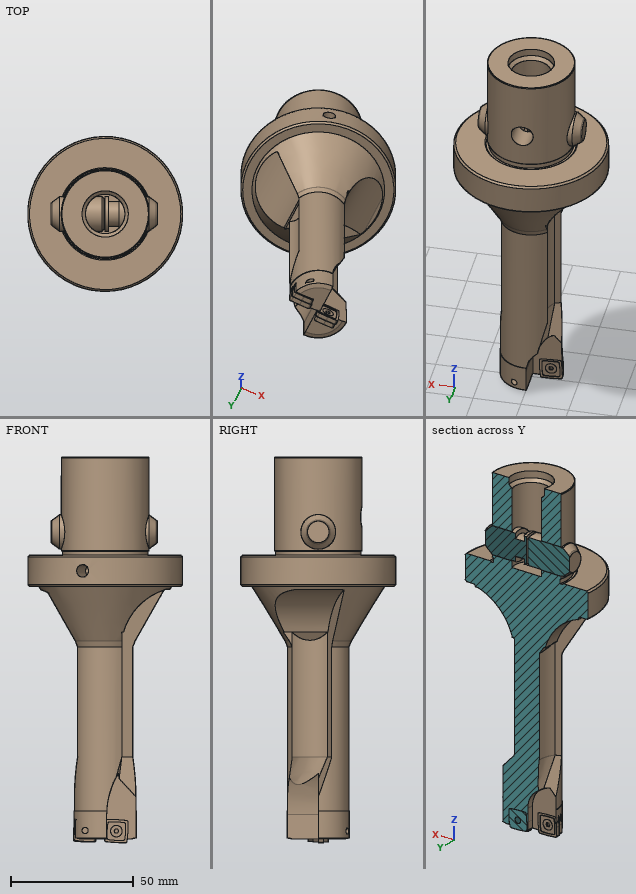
import cadquery as cq
import math


SHANK_RADIUS = 18.0
SHANK_TOP = 40.1
SHANK_CHAMFER = 0.3
UNDERCUT_RADIUS = 17.5
UNDERCUT_TOP = 1.9
UNDERCUT_OUTER_RADIUS = 19.0
UNDERCUT_DEPTH = 0.5
FLANGE_RADIUS = 31.8
FLANGE_THICKNESS = 13.0
FLANGE_CHAMFER = 0.8

CONE_TOP_RADIUS = 27.2
CONE_BOTTOM = -35.2
STEM_RADIUS = 12.6
STEM_BLEND = 2.4
BLEND_RADIUS = 13.6
TIP_RADIUS = 12.8
TIP_TOP = -104.7
TIP_BOTTOM = -116.3
TIP_BEVEL_HEIGHT = 0.5
TIP_BEVEL_WIDTH = 1.9

BORE_RADIUS = 8.0
BORE_FLOOR = 0.0
COUNTERBORE_RADIUS = 9.5
COUNTERBORE_DEPTH = 3.2

REAR_HOLE_RADIUS = 4.6
REAR_HOLE_Z = 15.6
FLANGE_HOLE_RADIUS = 2.5
FLANGE_HOLE_DEPTH = 12.6
FLANGE_HOLE_ANGLE = 17.0
FLANGE_HOLE_Z = -6.5

BOLT_Z = 9.5
BOLT_RADIUS = 7.1
BOLT_NOSE_RADIUS = 4.9
BOLT_NOSE_LENGTH = 3.5
BOLT_NOSE_CHAMFER = 0.5
LEFT_BOLT_TIP = -22.1
LEFT_BOLT_END = -0.5
LEFT_BOLT_CHAMFER = 0.8
RIGHT_BOLT_TIP = 21.3
COLLAR_START = 0.0
COLLAR_END = 1.5
NECK_RADIUS = 5.0
NECK_END = 5.7

LEFT_FLUTE_EDGE = 8.8
RIGHT_FLUTE_EDGE = 6.8
FLUTE_SAG = 2.4
FLUTE_LIP_X = -11.4
FLUTE_LIP_Y = -5.5
FLUTE_WALL_SLOPE = 0.4
FLUTE_TOP = -31.6
FLUTE_TOP_DROP = 3.3
FLUTE_KINK = -82.8
FLUTE_LEAN_X = 0.12
FLUTE_LEAN_Y = 0.42
FLUTE_LEAN_HEIGHT = 23.7
FLUTE_REACH = 31.6

RUNOUT_BOTTOM = -34.8
RUNOUT_MID_X = 7.7
RUNOUT_MID_Z = -20.0
RUNOUT_END_X = 18.2
RUNOUT_TOP = -14.0

TIP_WEB = 0.6
TIP_POCKET_TOP = -106.2
LEFT_TIP_CURVE = 10.6
RIGHT_TIP_CURVE = 31.6

INSERT_SIDE = 9.2
INSERT_BULGE = 0.2
INSERT_CORNER = 0.8
INSERT_TIER = 2.0
INSERT_INSET = 0.3
INSERT_RIM = 1.0
INSERT_HOLLOW = 0.3
INNER_INSERT_X = 4.6
INNER_INSERT_TILT = 3.0
OUTER_INSERT_X = 8.2
OUTER_INSERT_TILT = -3.0
OUTER_INSERT_Z = -112.8
DRILL_TIP = -117.9

SCREW_RADIUS = 1.3
SCREW_LENGTH = 7.9
SCREW_HEAD_RADIUS = 2.4
SCREW_HEAD_HEIGHT = 1.6
SOCKET_WIDTH = 1.9
SOCKET_DEPTH = 0.8


def half_turn(shape):
    """Turn a shape by half a turn about the drill axis."""
    return shape.rotate((0, 0, 0), (0, 0, 1), 180)



def body_blank():
    flange_bottom = -FLANGE_THICKNESS
    flange_inner = FLANGE_RADIUS - FLANGE_CHAMFER
    return (
        cq.Workplane("XZ")
        .moveTo(0, SHANK_TOP)
        .lineTo(SHANK_RADIUS - SHANK_CHAMFER, SHANK_TOP)
        .lineTo(SHANK_RADIUS, SHANK_TOP - SHANK_CHAMFER)
        .lineTo(SHANK_RADIUS, UNDERCUT_TOP)
        .lineTo(UNDERCUT_RADIUS, UNDERCUT_TOP - UNDERCUT_DEPTH)
        .lineTo(UNDERCUT_RADIUS, -UNDERCUT_DEPTH)
        .lineTo(UNDERCUT_OUTER_RADIUS - UNDERCUT_DEPTH, -UNDERCUT_DEPTH)
        .lineTo(UNDERCUT_OUTER_RADIUS, 0)
        .lineTo(flange_inner, 0)
        .lineTo(FLANGE_RADIUS, -FLANGE_CHAMFER)
        .lineTo(FLANGE_RADIUS, flange_bottom + FLANGE_CHAMFER)
        .lineTo(flange_inner, flange_bottom)
        .lineTo(CONE_TOP_RADIUS, flange_bottom)
        .lineTo(BLEND_RADIUS, CONE_BOTTOM)
        .lineTo(STEM_RADIUS, CONE_BOTTOM - STEM_BLEND)
        .lineTo(STEM_RADIUS, TIP_TOP)
        .lineTo(TIP_RADIUS, TIP_TOP)
        .lineTo(TIP_RADIUS, TIP_BOTTOM + TIP_BEVEL_HEIGHT)
        .lineTo(TIP_RADIUS - TIP_BEVEL_WIDTH, TIP_BOTTOM)
        .lineTo(0, TIP_BOTTOM)
        .close()
        .revolve(360, (0, 0, 0), (0, 1, 0))
    )


def shank_bore():
    ledge = SHANK_TOP - COUNTERBORE_DEPTH
    return (
        cq.Workplane("XZ")
        .moveTo(0, SHANK_TOP)
        .lineTo(COUNTERBORE_RADIUS, SHANK_TOP)
        .lineTo(COUNTERBORE_RADIUS, ledge)
        .lineTo(BORE_RADIUS, ledge - (COUNTERBORE_RADIUS - BORE_RADIUS))
        .lineTo(BORE_RADIUS, BORE_FLOOR)
        .lineTo(0, BORE_FLOOR)
        .close()
        .revolve(360, (0, 0, 0), (0, 1, 0))
    )


def rear_hole():
    """Hole from the rear of the shank into its bore."""
    return (
        cq.Workplane("XZ")
        .center(0, REAR_HOLE_Z)
        .circle(REAR_HOLE_RADIUS)
        .extrude(-SHANK_RADIUS)
    )


def flange_hole():
    """Blind radial hole in the rim of the flange."""
    return (
        cq.Workplane("XZ", origin=(0, FLANGE_HOLE_DEPTH - FLANGE_RADIUS, 0))
        .center(0, FLANGE_HOLE_Z)
        .circle(FLANGE_HOLE_RADIUS)
        .extrude(FLANGE_HOLE_DEPTH)
        .rotate((0, 0, 0), (0, 0, 1), -FLANGE_HOLE_ANGLE)
    )


def bolt_bore():
    return (
        cq.Workplane("YZ", origin=(-SHANK_RADIUS, 0, BOLT_Z))
        .circle(BOLT_RADIUS)
        .extrude(2 * SHANK_RADIUS)
    )


def flute_section(edge, level):
    """Cross-section of a flute: a straight wall and a hollow floor."""
    far_edge_y = math.sqrt(STEM_RADIUS**2 - edge**2)
    wall_inner_y = FLUTE_LIP_Y + FLUTE_WALL_SLOPE * (-edge - FLUTE_LIP_X)
    wall_outer_y = FLUTE_LIP_Y + FLUTE_WALL_SLOPE * (-FLUTE_REACH - FLUTE_LIP_X)
    return (
        cq.Workplane("XY", origin=(0, 0, level))
        .moveTo(-FLUTE_REACH, wall_outer_y)
        .lineTo(-edge, wall_inner_y)
        .threePointArc(
            (FLUTE_SAG - edge, (wall_inner_y + far_edge_y) / 2),
            (-edge, far_edge_y),
        )
        .lineTo(-edge, FLUTE_REACH)
        .lineTo(-FLUTE_REACH, FLUTE_REACH)
        .close()
    )


def straight_flute(edge):
    """Upright stretch of a flute, closed by a sloping face at its top."""
    prism = flute_section(edge, FLUTE_KINK).extrude(FLUTE_TOP - FLUTE_KINK)
    below_slope = (
        cq.Workplane("XZ")
        .moveTo(-FLUTE_REACH, FLUTE_TOP)
        .lineTo(-edge, FLUTE_TOP)
        .lineTo(FLUTE_SAG - edge, FLUTE_TOP - FLUTE_TOP_DROP)
        .lineTo(FLUTE_SAG - edge, FLUTE_KINK)
        .lineTo(-FLUTE_REACH, FLUTE_KINK)
        .close()
        .extrude(FLUTE_REACH, both=True)
    )
    return prism.intersect(below_slope)


def leaning_flute(edge):
    """Lower stretch of a flute, the same section swept along a leaning line."""
    descent = cq.Vector(FLUTE_LEAN_X, FLUTE_LEAN_Y, -1) * FLUTE_LEAN_HEIGHT
    outline = flute_section(edge, FLUTE_KINK).val()
    return cq.Workplane(cq.Solid.extrudeLinear(outline, [], descent))


def cone_runout(edge):
    """Curved run-out of a flute in the cone, beside the same wall as the flute."""
    below_curve = (
        cq.Workplane("XZ")
        .moveTo(-edge, FLUTE_KINK)
        .lineTo(-edge, RUNOUT_BOTTOM)
        .threePointArc(
            (-edge - RUNOUT_MID_X, RUNOUT_MID_Z),
            (-edge - RUNOUT_END_X, RUNOUT_TOP),
        )
        .lineTo(-FLUTE_REACH, RUNOUT_TOP)
        .lineTo(-FLUTE_REACH, FLUTE_KINK)
        .close()
        .extrude(FLUTE_REACH, both=True)
    )
    return flute_section(edge, FLUTE_KINK).extrude(-FLUTE_KINK).intersect(below_curve)


def tip_pocket(curve):
    """Chip pocket behind a rake face; its floor curves outward at the top."""
    mid_rise = curve * math.sqrt(0.5)
    mid_run = curve - mid_rise
    return (
        cq.Workplane("XZ")
        .moveTo(-TIP_WEB, DRILL_TIP)
        .lineTo(-TIP_WEB, TIP_POCKET_TOP)
        .threePointArc(
            (-TIP_WEB - mid_run, TIP_POCKET_TOP + mid_rise),
            (-TIP_WEB - curve, TIP_POCKET_TOP + curve),
        )
        .lineTo(-FLUTE_REACH, TIP_POCKET_TOP + curve)
        .lineTo(-FLUTE_REACH, DRILL_TIP)
        .close()
        .extrude(-FLUTE_REACH)
    )


def drill_body(cutters):
    body = body_blank().cut(shank_bore()).cut(rear_hole())
    body = body.cut(flange_hole()).cut(bolt_bore())
    for make_cut in (cone_runout, straight_flute, leaning_flute):
        body = body.cut(make_cut(LEFT_FLUTE_EDGE))
        body = body.cut(half_turn(make_cut(RIGHT_FLUTE_EDGE)))
    body = body.cut(tip_pocket(LEFT_TIP_CURVE))
    body = body.cut(half_turn(tip_pocket(RIGHT_TIP_CURVE)))
    for cutter in cutters:
        body = body.cut(cutter)
    return body



def turned_bolt(profile):
    """Revolve a profile of (x, radius) points about the bolt axis."""
    return (
        cq.Workplane("XY", origin=(0, 0, BOLT_Z))
        .polyline(profile)
        .close()
        .revolve(360, (0, 0, 0), (1, 0, 0))
    )


def nose_points(tip, inward):
    """Profile of a conical nose; inward is the X direction away from its tip."""
    return [
        (tip, 0),
        (tip, BOLT_NOSE_RADIUS - BOLT_NOSE_CHAMFER),
        (tip + inward * BOLT_NOSE_CHAMFER, BOLT_NOSE_RADIUS),
        (tip + inward * BOLT_NOSE_LENGTH, BOLT_RADIUS),
    ]


def left_bolt():
    return turned_bolt(nose_points(LEFT_BOLT_TIP, 1) + [
        (LEFT_BOLT_END - LEFT_BOLT_CHAMFER, BOLT_RADIUS),
        (LEFT_BOLT_END, BOLT_RADIUS - LEFT_BOLT_CHAMFER),
        (LEFT_BOLT_END, 0),
    ])


def right_bolt():
    return turned_bolt(nose_points(RIGHT_BOLT_TIP, -1) + [
        (NECK_END, BOLT_RADIUS),
        (NECK_END, NECK_RADIUS),
        (COLLAR_END, NECK_RADIUS),
        (COLLAR_END, BOLT_RADIUS),
        (COLLAR_START, BOLT_RADIUS),
        (COLLAR_START, 0),
    ])



def insert_plate(side, start, thickness):
    """Square plate with slightly bent sides and rounded corners."""
    half = side / 2
    middle = half + INSERT_BULGE
    outline = [
        (-half, -half), (0, -middle), (half, -half), (middle, 0),
        (half, half), (0, middle), (-half, half), (-middle, 0),
    ]
    plate = cq.Workplane("XZ", origin=(0, start, 0)).polyline(outline).close().extrude(-thickness)

    def is_corner(edge):
        return math.hypot(edge.Center().x, edge.Center().z) > middle + INSERT_BULGE

    return plate.edges("|Y").filter(is_corner).fillet(INSERT_CORNER)


def insert_envelope():
    upper = insert_plate(INSERT_SIDE, 0, INSERT_TIER)
    lower = insert_plate(INSERT_SIDE - 2 * INSERT_INSET, INSERT_TIER, INSERT_TIER)
    return upper.union(lower)


def screw_envelope():
    """Countersunk screw without its socket, its head level with the hollow."""
    return (
        cq.Workplane("XY")
        .moveTo(0, INSERT_HOLLOW)
        .lineTo(SCREW_HEAD_RADIUS, INSERT_HOLLOW)
        .lineTo(SCREW_RADIUS, INSERT_HOLLOW + SCREW_HEAD_HEIGHT)
        .lineTo(SCREW_RADIUS, SCREW_LENGTH)
        .lineTo(0, SCREW_LENGTH)
        .close()
        .revolve(360, (0, 0, 0), (0, 1, 0))
    )


def insert():
    hollow = insert_plate(INSERT_SIDE - 2 * INSERT_RIM, 0, INSERT_HOLLOW)
    return insert_envelope().cut(hollow).cut(screw_envelope())


def insert_screw():
    socket = (
        cq.Workplane("XZ", origin=(0, INSERT_HOLLOW, 0))
        .polygon(6, SOCKET_WIDTH)
        .extrude(-SOCKET_DEPTH)
    )
    return screw_envelope().cut(socket)


def screw_hole():
    """Hole for a screw, open through to the outside of the tip."""
    return cq.Workplane("XZ").circle(SCREW_RADIUS).extrude(-TIP_RADIUS)


def place_inner(shape):
    """Move a shape to the inner insert, whose lowest point is the drill tip."""
    tilted_box = insert_envelope().rotate((0, 0, 0), (0, 1, 0), INNER_INSERT_TILT)
    drop = tilted_box.val().BoundingBox().zmin
    tilted = shape.rotate((0, 0, 0), (0, 1, 0), INNER_INSERT_TILT)
    return tilted.translate((INNER_INSERT_X, 0, DRILL_TIP - drop))


def place_outer(shape):
    tilted = shape.rotate((0, 0, 0), (0, 1, 0), OUTER_INSERT_TILT)
    return half_turn(tilted.translate((OUTER_INSERT_X, 0, OUTER_INSERT_Z)))



inserts = []
screws = []
seats = []
for place in (place_inner, place_outer):
    inserts.append(place(insert()).val())
    screws.append(place(insert_screw()).val())
    seats.append(place(insert_envelope()))
    seats.append(place(screw_hole()))

body = drill_body(seats)

result = cq.Compound.makeCompound([
    body.val(),
    left_bolt().val(),
    right_bolt().val(),
    *inserts,
    *screws,
])